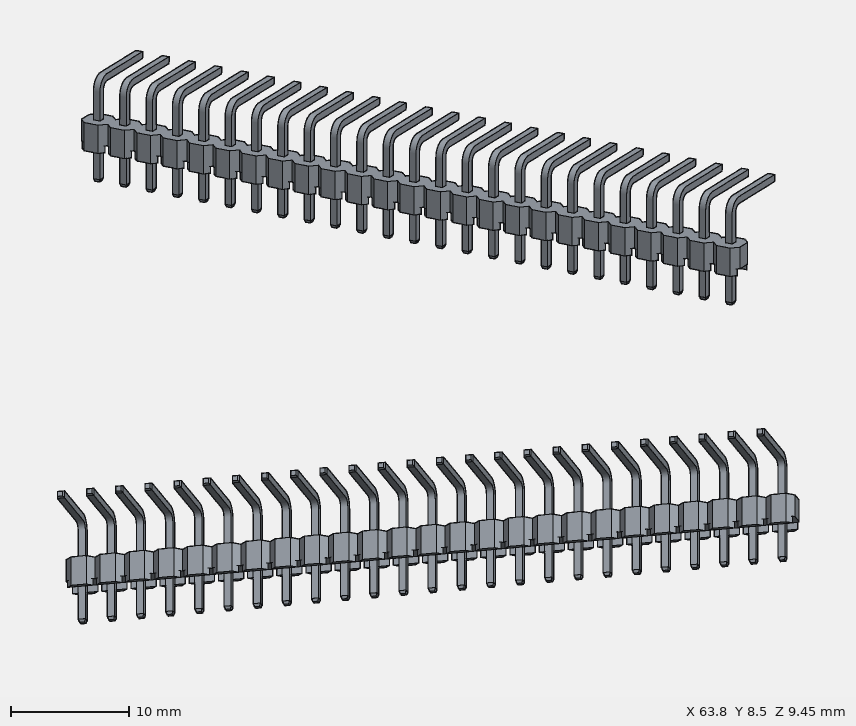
import cadquery as cq

pin_count = 25
pitch = 2.55

body_length = pin_count * pitch
body_depth = 2.55
body_height = 2.55
corner_cut = 0.605
groove_width = 1.65
groove_height = 0.605

pin_width = 0.65
pin_below = 3.0
pin_above = 3.9
total_depth = 8.5
bend_inner_radius = 0.65
tip_length = 0.25
tip_width = 0.45

bend_outer_radius = bend_inner_radius + pin_width
pin_top = body_height + pin_above
tip_y = total_depth - body_depth / 2


def make_cell():
    """Octagonal block of the body that holds one pin, centred on X = 0."""
    return (
        cq.Workplane("XY")
        .rect(pitch, body_depth)
        .extrude(body_height)
        .edges("|Z")
        .chamfer(corner_cut)
    )


def make_tip(plane):
    """Blunt pyramid that ends a pin, starting on the given plane."""
    return (
        cq.Workplane(plane)
        .rect(pin_width, pin_width)
        .workplane(offset=tip_length)
        .rect(tip_width, tip_width)
        .loft()
    )


def make_pin():
    """Square pin that rises along Z and bends over toward +Y, with both tips."""
    half = pin_width / 2
    tail_end = -pin_below + tip_length
    leg_end = tip_y - tip_length
    bent_bar = (
        cq.Workplane("YZ")
        .moveTo(-half, tail_end)
        .lineTo(-half, pin_top - bend_outer_radius)
        .radiusArc((-half + bend_outer_radius, pin_top), bend_outer_radius)
        .lineTo(leg_end, pin_top)
        .lineTo(leg_end, pin_top - pin_width)
        .lineTo(half + bend_inner_radius, pin_top - pin_width)
        .radiusArc((half, pin_top - bend_outer_radius), -bend_inner_radius)
        .lineTo(half, tail_end)
        .close()
        .extrude(half, both=True)
    )
    tail_plane = cq.Plane(origin=(0, 0, tail_end), xDir=(1, 0, 0), normal=(0, 0, -1))
    leg_plane = cq.Plane(
        origin=(0, leg_end, pin_top - half), xDir=(1, 0, 0), normal=(0, 1, 0)
    )
    return bent_bar.union(make_tip(tail_plane)).union(make_tip(leg_plane))


groove = cq.Workplane("XY").box(
    pitch, groove_width, groove_height, centered=(True, True, False)
)
unit = make_cell().cut(groove).union(make_pin())

first_x = -(body_length - pitch) / 2
result = unit.translate((first_x, 0, 0))
for index in range(1, pin_count):
    result = result.union(unit.translate((first_x + index * pitch, 0, 0)))